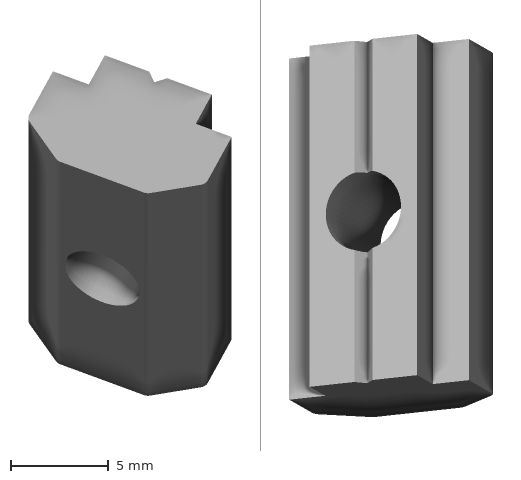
import cadquery as cq
import math

width = 10.0
depth = 7.0
length = 18.0

neck_width = 6.0
neck_height = 2.0
groove_width = 1.0
groove_depth = groove_width / 2

flat_width = 5.0
flank_angle = 35.5
flank_rise = (width - flat_width) / 2 * math.tan(math.radians(flank_angle))
edge_radius = 0.5

hole_diameter = 4.2

front_y = -depth / 2
back_y = depth / 2
shoulder_y = back_y - neck_height
flank_top_y = front_y + flank_rise


def make_body():
    """Extrude the T-shaped profile and round the edges of the flanks."""
    right_half = [
        (flat_width / 2, front_y),
        (width / 2, flank_top_y),
        (width / 2, shoulder_y),
        (neck_width / 2, shoulder_y),
        (neck_width / 2, back_y),
        (groove_width / 2, back_y),
    ]
    groove_bottom = (0, back_y - groove_depth)
    left_half = [(-x, y) for x, y in reversed(right_half)]
    outline = right_half + [groove_bottom] + left_half
    body = cq.Workplane("XY").polyline(outline).close().extrude(length / 2, both=True)

    flank_edge_points = [
        (side * x, y, 0)
        for side in (-1, 1)
        for x, y in ((flat_width / 2, front_y), (width / 2, flank_top_y))
    ]
    for point in flank_edge_points:
        nearest_edge = cq.selectors.NearestToPointSelector(point)
        body = body.edges("|Z").edges(nearest_edge).fillet(edge_radius)
    return body


def make_hole():
    """Cylinder through the full depth, centred on the nut."""
    return cq.Workplane("XZ").circle(hole_diameter / 2).extrude(depth, both=True)


result = make_body().cut(make_hole())